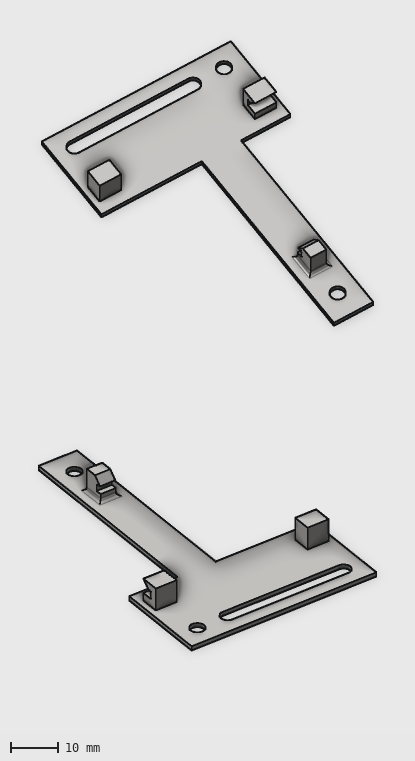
import cadquery as cq

TOTAL_LENGTH = 74.0
HEAD_LENGTH = 23.0
HEAD_WIDTH = 48.0
ARM_WIDTH = 10.0
ARM_CENTER_Y = 30.5
PLATE_THICKNESS = 1.1
TOTAL_HEIGHT = 6.7

HOLE_DIAMETER = 3.5
HEAD_HOLE_INSET = 5.0
ARM_HOLE_INSET = 6.15
SLOT_LENGTH = 33.6
SLOT_START_Y = 3.25

BLOCK_LENGTH = 4.6
BLOCK_WIDTH = 5.5
BLOCK_START_X = 15.4
BLOCK_EDGE_GAP = 1.55

LEDGE_HEIGHT = 1.9
NOTCH_TOP_HEIGHT = 3.8
BLOCK_NOTCH_DEPTH = 2.75
BLOCK_NOTCH_ROOF = 0.9

CLIP_START_X = 55.4
CLIP_LENGTH = 5.0
CLIP_WIDTH = 4.0
CLIP_NOTCH_DEPTH = 1.5
CLIP_NOTCH_CHAMFER = 0.4
CLIP_TIP_SETBACK = 0.2
CLIP_SLOPE_LENGTH = 1.85
CLIP_FILLET = 0.9

LEDGE_Z = PLATE_THICKNESS + LEDGE_HEIGHT
NOTCH_TOP_Z = PLATE_THICKNESS + NOTCH_TOP_HEIGHT


def box_from_corner(x, y, z, length, width, height):
    return cq.Workplane("XY").box(length, width, height, centered=False).translate((x, y, z))


def extrude_along_y(profile, start_y, width):
    """Extrude a closed XZ profile from start_y toward +Y."""
    return cq.Workplane("XZ", origin=(0, start_y, 0)).polyline(profile).close().extrude(-width)


def make_plate():
    head = box_from_corner(0, 0, 0, HEAD_LENGTH, HEAD_WIDTH, PLATE_THICKNESS)
    arm_start_y = ARM_CENTER_Y - ARM_WIDTH / 2
    arm = box_from_corner(0, arm_start_y, 0, TOTAL_LENGTH, ARM_WIDTH, PLATE_THICKNESS)
    hole_centers = [
        (HEAD_HOLE_INSET, HEAD_WIDTH - HEAD_HOLE_INSET),
        (TOTAL_LENGTH - ARM_HOLE_INSET, ARM_CENTER_Y),
    ]
    holes = (
        cq.Workplane("XY")
        .pushPoints(hole_centers)
        .circle(HOLE_DIAMETER / 2)
        .extrude(PLATE_THICKNESS)
    )
    slot = (
        cq.Workplane("XY")
        .center(HEAD_HOLE_INSET, SLOT_START_Y + SLOT_LENGTH / 2)
        .slot2D(SLOT_LENGTH, HOLE_DIAMETER, angle=90)
        .extrude(PLATE_THICKNESS)
    )
    return head.union(arm).cut(holes).cut(slot)


def make_plain_block():
    block_height = TOTAL_HEIGHT - PLATE_THICKNESS
    return box_from_corner(
        BLOCK_START_X, BLOCK_EDGE_GAP, PLATE_THICKNESS, BLOCK_LENGTH, BLOCK_WIDTH, block_height
    )


def make_notched_block():
    """Block with a notch in its +X side and an overhang sloping up to the top edge."""
    end_x = BLOCK_START_X + BLOCK_LENGTH
    notch_x = end_x - BLOCK_NOTCH_DEPTH
    profile = [
        (BLOCK_START_X, PLATE_THICKNESS),
        (end_x, PLATE_THICKNESS),
        (end_x, LEDGE_Z),
        (notch_x, LEDGE_Z),
        (notch_x, NOTCH_TOP_Z),
        (notch_x + BLOCK_NOTCH_ROOF, NOTCH_TOP_Z),
        (end_x, TOTAL_HEIGHT),
        (BLOCK_START_X, TOTAL_HEIGHT),
    ]
    start_y = HEAD_WIDTH - BLOCK_EDGE_GAP - BLOCK_WIDTH
    return extrude_along_y(profile, start_y, BLOCK_WIDTH)


def make_clip():
    """Snap clip with a notch in its -X side, a bevel in its inner top corner and a lead-in slope."""
    end_x = CLIP_START_X + CLIP_LENGTH
    notch_x = CLIP_START_X + CLIP_NOTCH_DEPTH
    tip_x = CLIP_START_X + CLIP_TIP_SETBACK
    profile = [
        (CLIP_START_X, PLATE_THICKNESS),
        (end_x, PLATE_THICKNESS),
        (end_x, TOTAL_HEIGHT),
        (tip_x + CLIP_SLOPE_LENGTH, TOTAL_HEIGHT),
        (tip_x, NOTCH_TOP_Z),
        (notch_x - CLIP_NOTCH_CHAMFER, NOTCH_TOP_Z),
        (notch_x, NOTCH_TOP_Z - CLIP_NOTCH_CHAMFER),
        (notch_x, LEDGE_Z),
        (CLIP_START_X, LEDGE_Z),
    ]
    return extrude_along_y(profile, ARM_CENTER_Y - CLIP_WIDTH / 2, CLIP_WIDTH)


def fillet_clip_base(body):
    """Round the four inside edges where the clip meets the plate."""
    margin = CLIP_FILLET / 2
    clip_end_x = CLIP_START_X + CLIP_LENGTH
    half_width = CLIP_WIDTH / 2
    base_edges = cq.selectors.BoxSelector(
        (CLIP_START_X - margin, ARM_CENTER_Y - half_width - margin, PLATE_THICKNESS - margin),
        (clip_end_x + margin, ARM_CENTER_Y + half_width + margin, PLATE_THICKNESS + margin),
    )
    return body.edges(base_edges).fillet(CLIP_FILLET)


arm_and_clip = fillet_clip_base(make_plate().union(make_clip()))
result = arm_and_clip.union(make_plain_block()).union(make_notched_block())